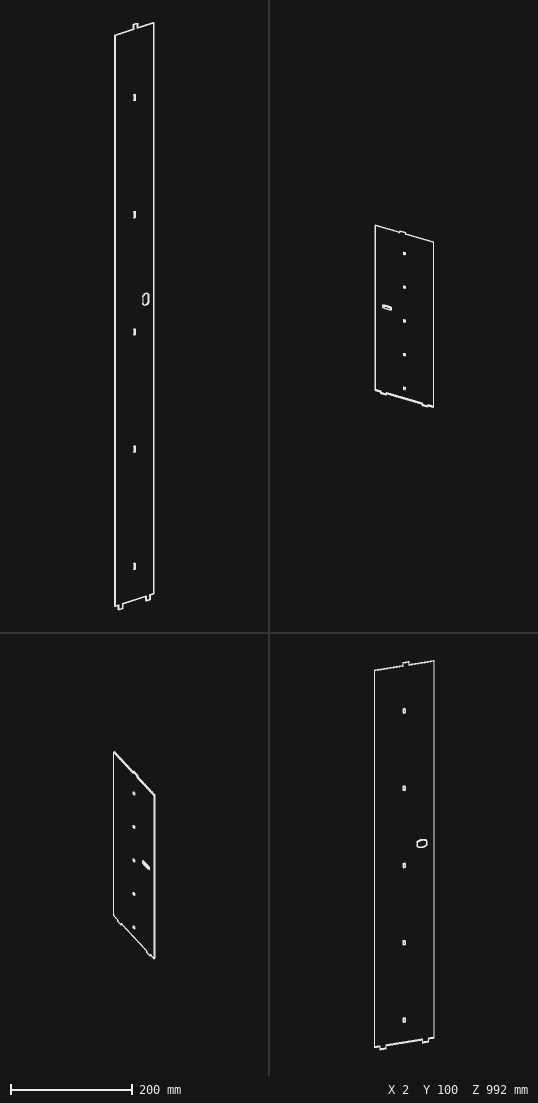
import cadquery as cq

thickness = 2.0
width = 100.0
total_height = 992.0

tab_width = 10.0
bottom_tab_height = 8.0
bottom_tab_offset = 36.0
top_tab_height = 8.0
top_tab_offset = 3.0

slot_count = 5
slot_pitch = 200.0
slot_width = 3.0
slot_height = 10.0
lowest_slot_z = 65.0

lock_y = 30.0
lock_z = 516.0
lock_diameter = 20.0
lock_flat_width = 16.0


def sheet_block(center_y, bottom_z, block_width, height):
    """Block through the full sheet thickness, standing on bottom_z."""
    block = cq.Workplane("XY").box(thickness, block_width, height, centered=(True, True, False))
    return block.translate((0, center_y, bottom_z))


def lock_hole():
    """Cutter for the round lock hole with flats facing +Y and -Y."""
    cylinder = (
        cq.Workplane("YZ")
        .center(lock_y, lock_z)
        .circle(lock_diameter / 2)
        .extrude(thickness / 2, both=True)
    )
    flats = sheet_block(lock_y, lock_z - lock_diameter / 2, lock_flat_width, lock_diameter)
    return cylinder.intersect(flats)


panel_height = total_height - bottom_tab_height - top_tab_height
panel_top = bottom_tab_height + panel_height
result = sheet_block(0, bottom_tab_height, width, panel_height)

for tab_y in (-bottom_tab_offset, bottom_tab_offset):
    result = result.union(sheet_block(tab_y, 0, tab_width, bottom_tab_height))
result = result.union(sheet_block(top_tab_offset, panel_top, tab_width, top_tab_height))

for index in range(slot_count):
    slot_z = lowest_slot_z + index * slot_pitch
    result = result.cut(sheet_block(0, slot_z - slot_height / 2, slot_width, slot_height))
result = result.cut(lock_hole())